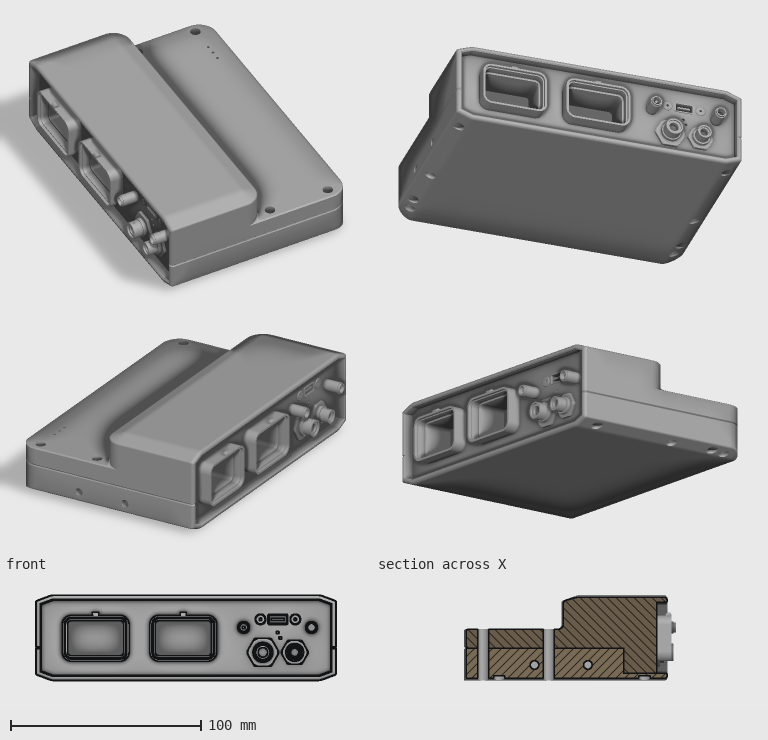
import cadquery as cq
import math

WIDTH = 158
DEPTH = 107.0
HEIGHT = 45.0
DECK_HEIGHT = 27.2
DECK_CHAMFER_WIDTH = 1.0
DECK_CHAMFER_DROP = 0.5
HUMP_DEPTH = 55.8
CORNER_RADIUS = 10.1
SLOPE_RUN = 8.5
SLOPE_RISE = 3.2
SLOPE_TOP_RADIUS = 8.2
SLOPE_SIDE_RADIUS = 1.1
FOOT_RADIUS = 2.5
FRONT_RADIUS = 1.7
SEAM_HEIGHT = 17.2
SEAM_CHAMFER = 0.55

MOUTH_RIM = 2.2
MOUTH_CHAMFER = 0.55
PANEL_DEPTH = 5.4
PANEL_BLOCK_THICKNESS = 17.4

MOUNT_DIAMETER = 5.5
MOUNT_EDGE = 5.8
MOUNT_ROWS = (DEPTH - 10.0, DEPTH - 44.5)
LAMP_DIAMETER = 1.6
LAMP_DEPTH = 1.6
LAMP_FIRST_X = -59.0
LAMP_PITCH = 5.0
LAMP_COUNT = 3
SCREW_DIAMETER = 6.2
SCREW_EDGE = 4.7
SCREW_ROWS = (12.0, DEPTH - 18.5)
SCREW_DEPTH = 2.4
SIDE_HOLE_DIAMETER = 4.3
SIDE_HOLE_DEPTH = 6.3
SIDE_HOLE_HEIGHT = 8.2
SIDE_HOLE_ROWS = (DEPTH - 37.0, DEPTH - 65.1)

SOCKET_CENTRES = (-47.5, -1.5)
SOCKET_Z = 22.3
SOCKET_WIDTH = 35.2
SOCKET_HEIGHT = 24.2
SOCKET_RADIUS = 4.9
SOCKET_FRONT = -2.2
SOCKET_STEPS = ((1.1, 1.6), (1.7, 5.7), (2.8, 22.1))
KEY_WIDTH = 3.3
KEY_DIAMETER = 3.2

COAX_Z = 28.0
COAX_PIN_X = 30.3
COAX_OPEN_X = 66.0
COAX_DIAMETER = 6.2
COAX_TIP_DIAMETER = 5.4
COAX_BORE_DIAMETER = 4.3
COAX_PIN_DIAMETER = 1.5
COAX_FRONT = -4.5
COAX_TIP_LENGTH = 1.1
COAX_BORE_DEPTH = 4.7

ROUND_Z = 14.9
ROUND_FRONT = -3.3
NUT_THICKNESS = 1.6
NUT_CORNER_TRIM = 0.5
COLLAR_LENGTH = 1.9
ROUND_BORE_DEPTH = 4.0
ROUND_RIM = 0.8
RIM_STEP_DEPTH = 1.0
DOT_DIAMETER = 1.1
DOT_DEPTH = 0.6
DOT_Y = -1.3
ROUND_SOCKETS = (
    (40.5, 14.9, 10.5, 9.2, 5.0),
    (57.2, 12.6, 9.3, 7.6, 4.5),
)

PORT_X = 48.3
PORT_Z = 32.2
PORT_WIDTH = 10.5
PORT_HEIGHT = 5.5
PORT_RADIUS = 1.0
PORT_RAISE = 0.5
PORT_WALL = 0.6
PORT_SLOT_DEPTH = 4.7
TONGUE_WIDTH = 7.0
TONGUE_HEIGHT = 1.0
PORT_SCREW_OFFSET = 9.2
PORT_SCREW_DIAMETER = 5.5
PORT_SCREW_EDGE = 0.3
PORT_SCREW_HOLE = 1.4

PANEL_LAMPS = ((48.2, 25.3), (49.6, 22.5))
PANEL_LAMP_DIAMETER = 1.5

EDGE_MARGIN = 0.2


def front_plane(x, y, z):
    """Plane at depth y whose normal points into the housing; local X is mirrored."""
    return cq.Workplane(cq.Plane(origin=(x, y, z), xDir=(-1, 0, 0), normal=(0, 1, 0)))


def peg(x, z, diameter, y_front, y_back):
    """Round bar along Y."""
    return front_plane(x, y_front, z).circle(diameter / 2).extrude(y_back - y_front)


def rounded_bar(x, z, width, height, radius, y_front, y_back):
    """Rounded rectangular bar along Y."""
    bar = front_plane(x, y_front, z).rect(width, height).extrude(y_back - y_front)
    return bar.edges("|Y").fillet(radius)


def cross_section(y, inset=0):
    """Front outline of the housing with sloping corners, optionally inset, at depth y."""
    side = WIDTH / 2
    top = HEIGHT / 2
    flat = side - SLOPE_RUN
    shoulder = top - SLOPE_RISE
    half = [(side, -shoulder), (side, shoulder), (flat, top)]
    points = half + [(-flat, top), (-side, shoulder), (-side, -shoulder), (-flat, -top), (flat, -top)]
    outline = front_plane(0, y, HEIGHT / 2).polyline(points).close()
    if inset:
        outline = outline.offset2D(-inset, "intersection")
    return outline


def plan_wire(inset, depth, radius, z):
    """Plan outline at height z: straight front, rounded rear corners."""
    side = WIDTH / 2 - inset
    rear = depth - inset
    diagonal = radius * (1 - math.sqrt(0.5))
    return (
        cq.Workplane("XY", origin=(0, 0, z))
        .moveTo(-side, 0)
        .lineTo(side, 0)
        .lineTo(side, rear - radius)
        .threePointArc((side - diagonal, rear - diagonal), (side - radius, rear))
        .lineTo(radius - side, rear)
        .threePointArc((diagonal - side, rear - diagonal), (-side, rear - radius))
        .close()
        .wire()
        .val()
    )


def plan_prism(depth, z_bottom, z_top):
    wire = plan_wire(0, depth, CORNER_RADIUS, z_bottom)
    return cq.Workplane(cq.Solid.extrudeLinear(wire, [], cq.Vector(0, 0, z_top - z_bottom)))


def plan_taper(depth, z_bottom, z_top, inset):
    """Layer whose sides and rear lean in by the inset."""
    lower = plan_wire(0, depth, CORNER_RADIUS, z_bottom)
    upper = plan_wire(inset, depth, CORNER_RADIUS - inset, z_top)
    return cq.Workplane(cq.Solid.makeLoft([lower, upper], True))


def fillet_band(body, selector, z_low, z_high, radius):
    """Round the selected edges whose centres lie between two heights, behind the front face."""
    band = cq.selectors.BoxSelector((-WIDTH, EDGE_MARGIN, z_low), (WIDTH, DEPTH, z_high))
    return body.edges(selector).edges(band).fillet(radius)


def make_deck():
    """Low slab with a chamfered rim above and sloping lower edges on both sides."""
    chamfer_start = DECK_HEIGHT - DECK_CHAMFER_DROP
    slab = plan_prism(DEPTH, 0, chamfer_start)
    slab = slab.union(plan_taper(DEPTH, chamfer_start, DECK_HEIGHT, DECK_CHAMFER_WIDTH))
    section = cross_section(0).extrude(DEPTH)
    section = fillet_band(section, "|Y", -EDGE_MARGIN, EDGE_MARGIN, SLOPE_TOP_RADIUS)
    section = fillet_band(section, "|Y", EDGE_MARGIN, DECK_HEIGHT, SLOPE_SIDE_RADIUS)
    return slab.intersect(section)


def make_hump():
    """Tall front block with a sloping border along its sides and rear."""
    shoulder = HEIGHT - SLOPE_RISE
    hump = plan_prism(HUMP_DEPTH, SEAM_HEIGHT, shoulder)
    hump = hump.union(plan_taper(HUMP_DEPTH, shoulder, HEIGHT, SLOPE_RUN))
    hump = hump.faces(">Z").edges("not <Y").fillet(SLOPE_TOP_RADIUS)
    return fillet_band(hump, None, shoulder - EDGE_MARGIN, shoulder + EDGE_MARGIN, SLOPE_SIDE_RADIUS)


def make_shell():
    """Whole outer shape of the housing, before it is divided at the seam."""
    shell = make_deck().union(make_hump())
    foot = cq.selectors.BoxSelector(
        (-WIDTH, HUMP_DEPTH - CORNER_RADIUS, DECK_HEIGHT - EDGE_MARGIN),
        (WIDTH, HUMP_DEPTH + EDGE_MARGIN, DECK_HEIGHT + EDGE_MARGIN),
    )
    shell = shell.edges(foot).fillet(FOOT_RADIUS)
    return shell.faces("<Y").edges().fillet(FRONT_RADIUS)


def seam_halves(shell):
    """Lower and upper parts of the shell, chamfered where they meet."""
    block = cq.Workplane("XY").box(2 * WIDTH, 2 * DEPTH, SEAM_HEIGHT, (True, True, False))
    block = block.translate((0, DEPTH / 2, 0))
    lower = shell.intersect(block).faces(">Z").edges().chamfer(SEAM_CHAMFER)
    upper = shell.cut(block).faces("<Z").edges().chamfer(SEAM_CHAMFER)
    return lower, upper


def panel_recess():
    """Space in front of the connector panel, with a chamfered mouth."""
    throat = MOUTH_RIM + MOUTH_CHAMFER
    mouth_wires = [
        cross_section(0, MOUTH_RIM).wire().val(),
        cross_section(MOUTH_CHAMFER, throat).wire().val(),
    ]
    recess = cross_section(0, throat).extrude(PANEL_DEPTH)
    return recess.union(cq.Workplane(cq.Solid.makeLoft(mouth_wires, True)))


def panel_block():
    """Block that carries all connectors and fills the recess behind them."""
    return cross_section(PANEL_DEPTH, MOUTH_RIM + MOUTH_CHAMFER).extrude(PANEL_BLOCK_THICKNESS)


def upright_holes(points, diameter, z_bottom, z_top):
    holes = cq.Workplane("XY", origin=(0, 0, z_bottom)).pushPoints(points)
    return holes.circle(diameter / 2).extrude(z_top - z_bottom)


def mirrored_points(edge, rows):
    """Pairs of points at the same distance from both sides."""
    x = WIDTH / 2 - edge
    return [(side * x, y) for side in (-1, 1) for y in rows]


def mount_holes():
    return upright_holes(mirrored_points(MOUNT_EDGE, MOUNT_ROWS), MOUNT_DIAMETER, 0, DECK_HEIGHT)


def screw_holes():
    return upright_holes(mirrored_points(SCREW_EDGE, SCREW_ROWS), SCREW_DIAMETER, 0, SCREW_DEPTH)


def lamp_holes():
    points = [(LAMP_FIRST_X + i * LAMP_PITCH, MOUNT_ROWS[0]) for i in range(LAMP_COUNT)]
    return upright_holes(points, LAMP_DIAMETER, DECK_HEIGHT - LAMP_DEPTH, DECK_HEIGHT)


def side_holes():
    plane = cq.Workplane("YZ", origin=(-WIDTH / 2, 0, 0))
    points = [(y, SIDE_HOLE_HEIGHT) for y in SIDE_HOLE_ROWS]
    return plane.pushPoints(points).circle(SIDE_HOLE_DIAMETER / 2).extrude(SIDE_HOLE_DEPTH)


def add_socket(body, x):
    """Rectangular socket frame with a stepped opening and a half-round key on top."""
    frame = rounded_bar(x, SOCKET_Z, SOCKET_WIDTH, SOCKET_HEIGHT, SOCKET_RADIUS, SOCKET_FRONT, PANEL_DEPTH)
    key_y = SOCKET_FRONT + KEY_DIAMETER / 2
    key_z = SOCKET_Z + SOCKET_HEIGHT / 2
    key = cq.Workplane("YZ", origin=(x - KEY_WIDTH / 2, key_y, key_z))
    body = body.union(frame).union(key.circle(KEY_DIAMETER / 2).extrude(KEY_WIDTH))
    for wall, depth in SOCKET_STEPS:
        body = body.cut(
            rounded_bar(
                x,
                SOCKET_Z,
                SOCKET_WIDTH - 2 * wall,
                SOCKET_HEIGHT - 2 * wall,
                SOCKET_RADIUS - wall,
                SOCKET_FRONT,
                SOCKET_FRONT + depth,
            )
        )
    return body


def add_coax(body, x, has_pin):
    """Coaxial socket with a narrower tip and an optional centre pin."""
    shoulder = COAX_FRONT + COAX_TIP_LENGTH
    bore_end = COAX_FRONT + COAX_BORE_DEPTH
    body = body.union(peg(x, COAX_Z, COAX_DIAMETER, shoulder, PANEL_DEPTH))
    body = body.union(peg(x, COAX_Z, COAX_TIP_DIAMETER, COAX_FRONT, shoulder))
    body = body.cut(peg(x, COAX_Z, COAX_BORE_DIAMETER, COAX_FRONT, bore_end))
    if has_pin:
        body = body.union(peg(x, COAX_Z, COAX_PIN_DIAMETER, shoulder, bore_end))
    return body


def hexagonal_nut(x, across_flats):
    """Nut with flats above and below and its corners trimmed."""
    across_corners = across_flats / math.cos(math.pi / 6)
    y_front = PANEL_DEPTH - NUT_THICKNESS
    nut = front_plane(x, y_front, ROUND_Z).polygon(6, across_corners).extrude(NUT_THICKNESS)
    trim = peg(x, ROUND_Z, across_corners - NUT_CORNER_TRIM, y_front, PANEL_DEPTH)
    return nut.intersect(trim.faces("<Y").edges().chamfer(NUT_CORNER_TRIM))


def add_round_socket(body, x, across_flats, collar_diameter, barrel_diameter, bore_diameter):
    """Nut, collar and barrel with a stepped bore and a marking dot on top."""
    nut_front = PANEL_DEPTH - NUT_THICKNESS
    body = body.union(hexagonal_nut(x, across_flats))
    body = body.union(peg(x, ROUND_Z, collar_diameter, nut_front - COLLAR_LENGTH, nut_front))
    body = body.union(peg(x, ROUND_Z, barrel_diameter, ROUND_FRONT, nut_front))
    mouth_diameter = barrel_diameter - 2 * ROUND_RIM
    body = body.cut(peg(x, ROUND_Z, mouth_diameter, ROUND_FRONT, ROUND_FRONT + RIM_STEP_DEPTH))
    body = body.cut(peg(x, ROUND_Z, bore_diameter, ROUND_FRONT, ROUND_FRONT + ROUND_BORE_DEPTH))
    top = ROUND_Z + barrel_diameter / 2
    dot = upright_holes([(x, DOT_Y)], DOT_DIAMETER, top - DOT_DEPTH, top)
    return body.cut(dot)


def add_data_port(body):
    """Flat data port with a tongue, and a screw on each side."""
    y_front = PANEL_DEPTH - PORT_RAISE
    slot_end = PANEL_DEPTH + PORT_SLOT_DEPTH
    slot_width = PORT_WIDTH - 2 * PORT_WALL
    slot_height = PORT_HEIGHT - 2 * PORT_WALL
    body = body.union(
        rounded_bar(PORT_X, PORT_Z, PORT_WIDTH, PORT_HEIGHT, PORT_RADIUS, y_front, PANEL_DEPTH)
    )
    body = body.cut(
        rounded_bar(PORT_X, PORT_Z, slot_width, slot_height, PORT_RADIUS - PORT_WALL, y_front, slot_end)
    )
    tongue = front_plane(PORT_X, PANEL_DEPTH, PORT_Z).rect(TONGUE_WIDTH, TONGUE_HEIGHT)
    body = body.union(tongue.extrude(PORT_SLOT_DEPTH))
    for side in (-1, 1):
        x = PORT_X + side * PORT_SCREW_OFFSET
        screw = peg(x, PORT_Z, PORT_SCREW_DIAMETER, y_front, PANEL_DEPTH)
        body = body.union(screw.faces("<Y").edges().chamfer(PORT_SCREW_EDGE))
        body = body.cut(peg(x, PORT_Z, PORT_SCREW_HOLE, y_front, slot_end))
    return body


def make_base(lower):
    """Lower housing, notched for the connector panel."""
    base = lower.cut(panel_recess()).cut(panel_block())
    return base.cut(mount_holes()).cut(screw_holes()).cut(side_holes())


def make_cover(upper):
    """Upper housing with the connector panel and all connectors."""
    cover = upper.cut(panel_recess()).union(panel_block())
    cover = cover.cut(mount_holes()).cut(lamp_holes())
    for x in SOCKET_CENTRES:
        cover = add_socket(cover, x)
    cover = add_coax(cover, COAX_PIN_X, True)
    cover = add_coax(cover, COAX_OPEN_X, False)
    for round_socket in ROUND_SOCKETS:
        cover = add_round_socket(cover, *round_socket)
    cover = add_data_port(cover)
    for x, z in PANEL_LAMPS:
        cover = cover.cut(peg(x, z, PANEL_LAMP_DIAMETER, PANEL_DEPTH, PANEL_DEPTH + LAMP_DEPTH))
    return cover


lower_shell, upper_shell = seam_halves(make_shell())
base = make_base(lower_shell)
cover = make_cover(upper_shell)

result = cq.Compound.makeCompound([base.val(), cover.val()])